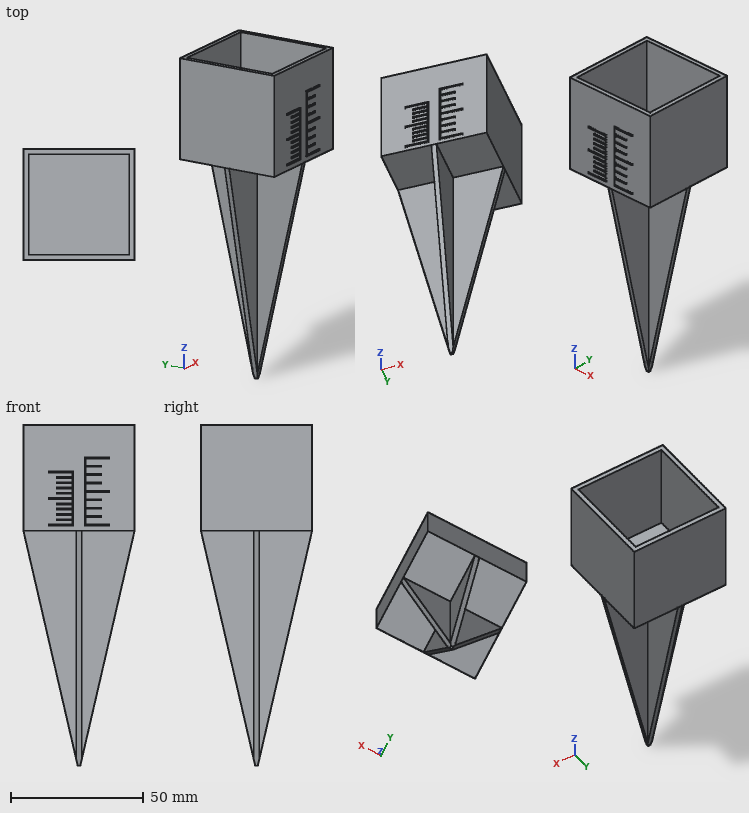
import cadquery as cq

INCH = 25.4

cavity_size = 1.5 * INCH
wall = 2.0
cup_width = cavity_size + 2 * wall
cup_height = cavity_size + wall

spike_length = 3.5 * INCH
blade_thickness = 2.0
tip_width = 1.0

engraving_depth = 0.5
line_width = 0.5
scale_base = wall
spine_offset = 2.1
long_tick = 9.4
short_tick = 6.3
centimetre_step = 2.0
centimetre_divisions = 10
inch_divisions = 8
inch_step = INCH / inch_divisions


def make_scale(step, divisions, side):
    """Cutter for one scale: an upright spine with ticks on one side (side 1 is +X, -1 is -X)."""
    front_face = -cup_width / 2

    def line(length, height, base):
        return (
            cq.Workplane("XY")
            .box(length, engraving_depth, height, centered=(True, False, False))
            .translate((side * (spine_offset + length / 2), front_face, base))
        )

    scale = line(line_width, step * divisions + line_width, scale_base)
    for index in range(divisions + 1):
        is_long = index % (divisions // 2) == 0
        length = long_tick if is_long else short_tick
        scale = scale.union(line(length, line_width, scale_base + index * step))
    return scale


def make_cup():
    """Open-topped box with its underside at Z = 0 and both scales engraved in front."""
    body = cq.Workplane("XY").rect(cup_width, cup_width).extrude(cup_height)
    cavity = cq.Workplane("XY").workplane(offset=wall).rect(cavity_size, cavity_size).extrude(cavity_size)
    centimetre_scale = make_scale(centimetre_step, centimetre_divisions, -1)
    inch_scale = make_scale(inch_step, inch_divisions, 1)
    return body.cut(cavity).cut(centimetre_scale).cut(inch_scale)


def make_spike():
    """Cross-shaped bar trimmed by a square taper, so both blades narrow towards the tip."""
    long_side_x = cq.Workplane("XY").rect(cup_width, blade_thickness).extrude(-spike_length)
    long_side_y = cq.Workplane("XY").rect(blade_thickness, cup_width).extrude(-spike_length)
    taper = (
        cq.Workplane("XY")
        .rect(cup_width, cup_width)
        .workplane(offset=-spike_length)
        .rect(tip_width, tip_width)
        .loft(ruled=True)
    )
    return long_side_x.union(long_side_y).intersect(taper)


cup = make_cup()
spike = make_spike()

result = cq.Compound.makeCompound([cup.val(), spike.val()])